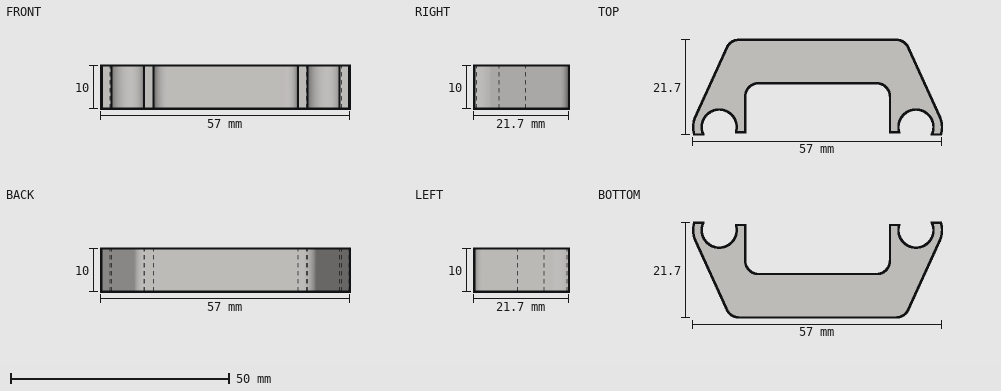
import cadquery as cq
import math

length = 57.0
depth = 21.7
thickness = 10.0

back_corner_x = 19.95
corner_radius = 3.0
inner_half_width = 16.5
bridge_depth = 10.0
inner_foot_y = 0.5

bore_radius = 4.0
clip_radius = 6.0
clip_x = length / 2 - clip_radius
clip_y = 1.7

meeting_y = 3.75
meeting_x = clip_x + math.sqrt(clip_radius**2 - (meeting_y - clip_y)**2)
outer_foot_x = clip_x + math.sqrt(clip_radius**2 - clip_y**2)


def half_body():
    """Right half of the bracket, before the bore is cut."""
    body = (
        cq.Workplane("XY")
        .moveTo(0, depth)
        .lineTo(back_corner_x, depth)
        .lineTo(meeting_x, meeting_y)
        .threePointArc((length / 2, clip_y), (outer_foot_x, 0))
        .lineTo(clip_x, 0)
        .lineTo(clip_x, inner_foot_y)
        .lineTo(inner_half_width, inner_foot_y)
        .lineTo(inner_half_width, depth - bridge_depth)
        .lineTo(0, depth - bridge_depth)
        .close()
        .extrude(thickness)
    )
    rounded_corners = [
        (back_corner_x, depth),
        (inner_half_width, depth - bridge_depth),
    ]
    for x, y in rounded_corners:
        corner = cq.selectors.NearestToPointSelector((x, y, thickness / 2))
        body = body.edges(corner).fillet(corner_radius)
    return body


def clip_bore():
    """Round seat of the clip, open toward -Y."""
    return cq.Workplane("XY").center(clip_x, clip_y).circle(bore_radius).extrude(thickness)


half = half_body().cut(clip_bore())
result = half.union(half.mirror("YZ")).clean()